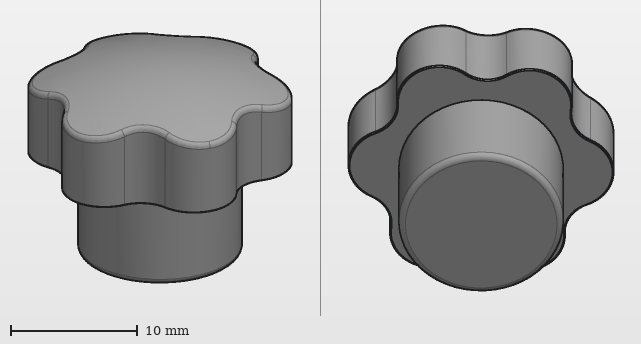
import cadquery as cq
import math

lobe_count = 6
outer_radius = 10.5
lobe_radius = 3.35
valley_radius = 2.75
total_height = 16.0
dome_radius = 28.15
rim_fillet = 0.5
head_bottom_chamfer = 0.1

stem_diameter = 13.0
stem_height = total_height / 2
stem_fillet = 0.5

lobe_pitch = 360 / lobe_count
lobe_center_radius = outer_radius - lobe_radius
half_pitch = math.radians(lobe_pitch / 2)
half_spacing = lobe_center_radius * math.sin(half_pitch)
center_distance = lobe_radius + valley_radius
valley_center_radius = (lobe_center_radius * math.cos(half_pitch)
                        + math.sqrt(center_distance**2 - half_spacing**2))
valley_floor_radius = valley_center_radius - valley_radius


def polar(radius, angle):
    """Point at a radius and an angle in degrees."""
    return (radius * math.cos(math.radians(angle)), radius * math.sin(math.radians(angle)))


def tangent_point(lobe_angle, valley_angle):
    """Point where a lobe arc runs into a neighbouring valley arc."""
    lobe_x, lobe_y = polar(lobe_center_radius, lobe_angle)
    valley_x, valley_y = polar(valley_center_radius, valley_angle)
    share = lobe_radius / center_distance
    return (lobe_x + share * (valley_x - lobe_x), lobe_y + share * (valley_y - lobe_y))


def make_head_prism():
    """Lobed outline, extruded from the stem up to the top of the dome."""
    half = lobe_pitch / 2
    outline = cq.Workplane("XY", origin=(0, 0, stem_height)).moveTo(*tangent_point(0, -half))
    for i in range(lobe_count):
        angle = i * lobe_pitch
        outline = outline.threePointArc(polar(outer_radius, angle), tangent_point(angle, angle + half))
        outline = outline.threePointArc(
            polar(valley_floor_radius, angle + half),
            tangent_point(angle + lobe_pitch, angle + half),
        )
    return outline.close().extrude(total_height - stem_height)


def make_head():
    """Lobed prism under a spherical dome, with a rounded rim and a broken lower edge."""
    dome = cq.Workplane("XY", origin=(0, 0, total_height - dome_radius)).sphere(dome_radius)
    head = make_head_prism().intersect(dome)
    head = head.faces("<Z").edges().chamfer(head_bottom_chamfer)
    return head.faces(">Z").edges().fillet(rim_fillet)


def make_stem():
    """Cylinder with a rounded lower end."""
    stem = cq.Workplane("XY").circle(stem_diameter / 2).extrude(stem_height)
    return stem.faces("<Z").edges().fillet(stem_fillet)


result = make_head().union(make_stem())